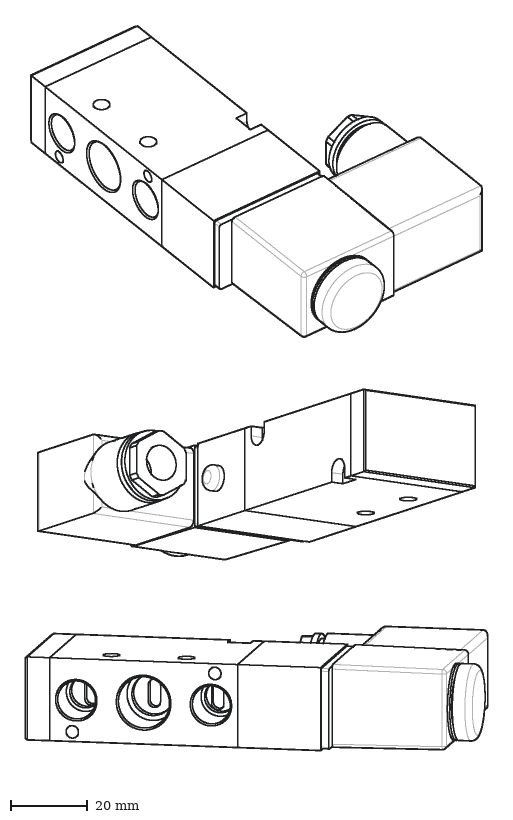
import cadquery as cq


body_depth = 34.9
body_height = 22.0
body_mid_y = body_depth / 2

total_length = 117.1
cap_length = 6.5
valve_length = 50.0
pilot_length = 22.1
flange_length = 2.1
coil_length = 30.1
valve_start = cap_length
pilot_start = valve_start + valve_length
flange_start = pilot_start + pilot_length
coil_start = flange_start + flange_length
coil_end = coil_start + coil_length
valve_mid_x = valve_start + valve_length / 2

cap_chamfer_length = 0.4
cap_chamfer_depth = 0.6

port_spacing = 17.9
small_port_radius = 5.0
small_drill_radius = 4.1
large_port_radius = 6.8
large_drill_radius = 5.5
port_chamfer = 0.5
port_depth = 11.7
drill_depth = 14.0
slot_depth = 16.4
slot_width = 3.3
slot_height = 7.5
slot_spacing = 16.9
upright = 90

cross_hole_diameter = 4.3
cross_hole_spacing = 20.0
cross_hole_y = 7.0

mount_hole_radius = 1.6
mount_offset_x = 19.0
mount_offset_z = 8.4
mount_seat_radius = 3.0
mount_seat_depth = 3.5

flange_inset = 0.4
flange_fillet = 0.6
button_radius = 3.4
button_height = 3.2
button_fillet = 1.6
button_x = 69.7

coil_front_y = 4.5
coil_rear_y = body_depth - flange_inset
coil_height = body_height
coil_draft = 0.4
coil_fillet = 1.0

nut_radius = 10.1
nut_fillet = 1.6
nut_neck_radius = 7.7
nut_washer_end = 111.5
nut_start = 112.2

plug_start = 81.3
plug_end = 110.2
plug_rear_y = 64.9
plug_height = 21.1
plug_fillet = 1.6

gland_y = 57.4
gland_radius = 9.4
gland_start = 68.7
gland_cone_length = 7.0
gland_cone_end_radius = 7.1
gland_neck_radius = 8.0
gland_neck_start = 67.0
gland_ring_radius = 9.3
gland_ring_start = 65.3
hex_start = 62.1
hex_sides = 6
hex_across_flats = 15.5
hex_corner_radius = 8.5
cable_hole_diameter = 9.3
cable_hole_depth = 11.7


def block(start, length):
    """Box with the shared section, from X = start."""
    return cq.Workplane("XY").box(length, body_depth, body_height, (False, False, True)).translate((start, 0, 0))


def rod(start, end, y, radius):
    """Round bar along X at mid-height."""
    return cq.Workplane("YZ", origin=(start, y, 0)).circle(radius).extrude(end - start)


def port_face_hole(x, z, radius, depth):
    """Round cutter going from the port face into +Y."""
    return cq.Workplane("XZ", origin=(x, 0, z)).circle(radius).extrude(-depth)


def make_cap():
    rim = block(0, cap_length).faces("<X").edges()
    return rim.chamfer(cap_chamfer_length, cap_chamfer_depth)


def port(x, slot_x, port_radius, drill_radius):
    """Chamfered, stepped port with a flow slot in its floor."""
    mouth = cq.Workplane("XZ", origin=(x, 0, 0)).circle(port_radius + port_chamfer)
    mouth = mouth.workplane(offset=-port_chamfer).circle(port_radius).loft()
    slot = cq.Workplane("XZ", origin=(slot_x, 0, 0)).slot2D(slot_height, slot_width, upright).extrude(-slot_depth)
    bore = port_face_hole(x, 0, port_radius, port_depth)
    drill = port_face_hole(x, 0, drill_radius, drill_depth)
    return mouth.union(bore).union(drill).union(slot)


def mounting_hole(side):
    """Through hole with a rear screw seat; side is +1 for the top corner, -1 for the bottom one."""
    x = valve_mid_x + side * mount_offset_x
    z = side * mount_offset_z
    edge_gap = body_height / 2 - mount_offset_z
    hole = port_face_hole(x, z, mount_hole_radius, body_depth)
    seat = cq.Workplane("XZ", origin=(x, body_depth, z)).circle(mount_seat_radius).extrude(mount_seat_depth)
    opening = (
        cq.Workplane("XZ", origin=(x, body_depth, z + side * edge_gap / 2))
        .rect(2 * mount_seat_radius, edge_gap)
        .extrude(mount_seat_depth)
    )
    return hole.union(seat).union(opening)


def make_valve():
    valve = block(valve_start, valve_length)
    valve = valve.cut(port(valve_mid_x, valve_mid_x, large_port_radius, large_drill_radius))
    for side in (-1, 1):
        port_x = valve_mid_x + side * port_spacing
        slot_x = valve_mid_x + side * slot_spacing
        valve = valve.cut(port(port_x, slot_x, small_port_radius, small_drill_radius))
        valve = valve.cut(mounting_hole(side))
        cross_x = valve_mid_x + side * cross_hole_spacing / 2
        cross_hole = cq.Workplane("XY", origin=(cross_x, cross_hole_y, -body_height / 2))
        valve = valve.cut(cross_hole.circle(cross_hole_diameter / 2).extrude(body_height))
    return valve


def make_pilot():
    flange = (
        cq.Workplane("YZ", origin=(flange_start, body_mid_y, 0))
        .rect(body_depth - 2 * flange_inset, body_height - 2 * flange_inset)
        .extrude(flange_length)
        .edges("|X")
        .fillet(flange_fillet)
    )
    button = (
        cq.Workplane("XZ", origin=(button_x, body_depth, 0))
        .circle(button_radius)
        .extrude(-button_height)
        .faces(">Y")
        .edges()
        .fillet(button_fillet)
    )
    return block(pilot_start, pilot_length).union(flange).union(button)


def coil():
    """Coil housing, drafted on its front, top and bottom, with a square rear edge."""
    depth = coil_rear_y - coil_front_y
    housing = (
        cq.Workplane("YZ", origin=(coil_start, (coil_rear_y + coil_front_y) / 2, 0))
        .rect(depth, coil_height)
        .workplane(offset=coil_length)
        .center(coil_draft / 2, 0)
        .rect(depth - coil_draft, coil_height - 2 * coil_draft)
        .loft(ruled=True)
    )
    end_edges = housing.faces(">X").edges("not >Y")
    front_edges = housing.faces("<Y").edges("not |Z")
    return housing.newObject(end_edges.vals() + front_edges.vals()).fillet(coil_fillet)


def retaining_nut():
    """Grooved round nut on the coil end."""
    washer = rod(coil_end, nut_washer_end, body_mid_y, nut_radius)
    neck = rod(nut_washer_end, nut_start, body_mid_y, nut_neck_radius)
    knob = rod(nut_start, total_length, body_mid_y, nut_radius).faces(">X").edges().fillet(nut_fillet)
    return washer.union(neck).union(knob)


def plug():
    """Connector housing behind the coil, rounded along its two end faces."""
    housing = cq.Workplane("XY").box(
        plug_end - plug_start, plug_rear_y - coil_rear_y, plug_height, (False, False, True)
    )
    housing = housing.translate((plug_start, coil_rear_y, 0))
    return housing.faces("<X or >X").edges("not <Y").fillet(plug_fillet)


def cable_gland():
    """Round cable entry: hexagon nut, ring, neck, barrel and a cone running into the plug."""
    hexagon = (
        cq.Workplane("YZ", origin=(hex_start, gland_y, 0))
        .polygon(hex_sides, hex_across_flats, circumscribed=True)
        .extrude(gland_ring_start - hex_start)
    )
    hexagon = hexagon.intersect(rod(hex_start, gland_ring_start, gland_y, hex_corner_radius))
    ring = rod(gland_ring_start, gland_neck_start, gland_y, gland_ring_radius)
    neck = rod(gland_neck_start, gland_start, gland_y, gland_neck_radius)
    barrel = rod(gland_start, plug_start, gland_y, gland_radius)
    cone = (
        cq.Workplane("YZ", origin=(plug_start, gland_y, 0))
        .circle(gland_radius)
        .workplane(offset=gland_cone_length)
        .circle(gland_cone_end_radius)
        .loft()
    )
    return hexagon.union(ring).union(neck).union(barrel).union(cone)


def make_solenoid():
    cable_hole = rod(hex_start, hex_start + cable_hole_depth, gland_y, cable_hole_diameter / 2)
    return coil().union(retaining_nut()).union(plug()).union(cable_gland()).cut(cable_hole)


cap = make_cap()
valve = make_valve()
pilot = make_pilot()
solenoid = make_solenoid()

result = cq.Compound.makeCompound([cap.val(), valve.val(), pilot.val(), solenoid.val()])